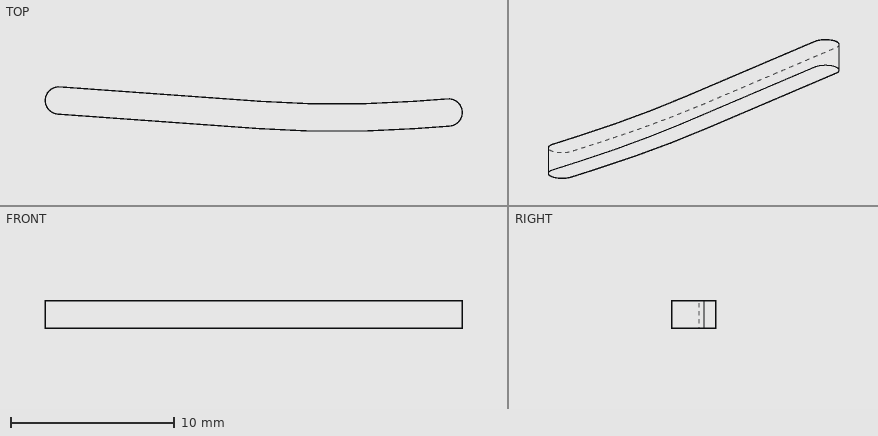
import cadquery as cq
import math

bar_width = 1.69
bar_height = 1.69
overall_length = 25.59
long_leg_length = 12.37
bend_radius = 65.7
leg_slope = 4.12

half_width = bar_width / 2
slope = math.radians(leg_slope)
bend_half_span = bend_radius * math.sin(slope)
bend_sag = bend_radius * (1 - math.cos(slope))
long_leg_run = long_leg_length * math.cos(slope)
short_leg_run = overall_length - bar_width - long_leg_run - 2 * bend_half_span

left_end_x = half_width - overall_length / 2
bend_start_x = left_end_x + long_leg_run
bend_middle_x = bend_start_x + bend_half_span
bend_end_x = bend_middle_x + bend_half_span
right_end_x = bend_end_x + short_leg_run

left_end = (left_end_x, bend_sag + long_leg_run * math.tan(slope))
bend_start = (bend_start_x, bend_sag)
bend_middle = (bend_middle_x, 0)
bend_end = (bend_end_x, bend_sag)
right_end = (right_end_x, bend_sag + short_leg_run * math.tan(slope))


def offset_point(point, direction, distance):
    """Move a point sideways, to the left of a direction given in radians."""
    x, y = point
    return (x - distance * math.sin(direction), y + distance * math.cos(direction))


def end_tip(point, direction):
    """Outermost point of the rounded end centred on a point."""
    x, y = point
    return (x + half_width * math.cos(direction), y + half_width * math.sin(direction))


def bent_bar():
    """Constant-width bar along the bent centreline, with full-round ends."""
    return (
        cq.Workplane("XY")
        .moveTo(*offset_point(left_end, -slope, -half_width))
        .lineTo(*offset_point(bend_start, -slope, -half_width))
        .threePointArc(
            offset_point(bend_middle, 0, -half_width),
            offset_point(bend_end, slope, -half_width),
        )
        .lineTo(*offset_point(right_end, slope, -half_width))
        .threePointArc(
            end_tip(right_end, slope),
            offset_point(right_end, slope, half_width),
        )
        .lineTo(*offset_point(bend_end, slope, half_width))
        .threePointArc(
            offset_point(bend_middle, 0, half_width),
            offset_point(bend_start, -slope, half_width),
        )
        .lineTo(*offset_point(left_end, -slope, half_width))
        .threePointArc(
            end_tip(left_end, math.pi - slope),
            offset_point(left_end, -slope, -half_width),
        )
        .close()
        .extrude(bar_height)
    )


result = bent_bar()